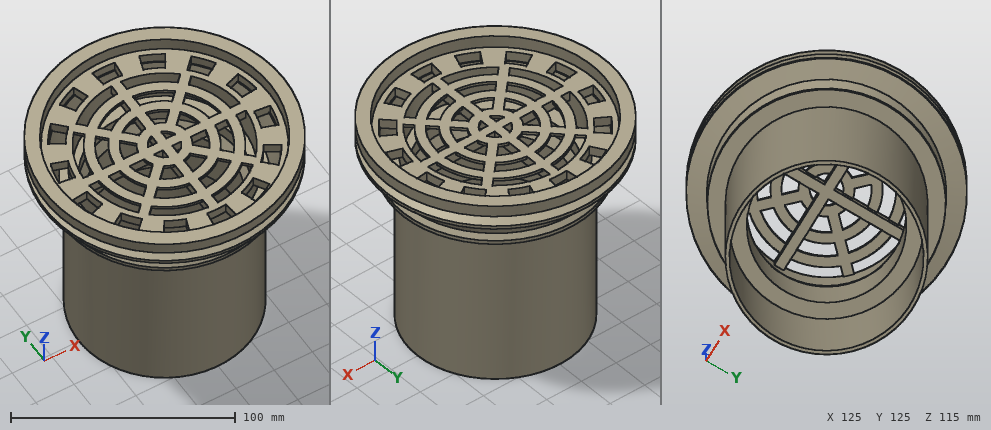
import cadquery as cq
import math

TOP_Z = 115.0
RIM_BOTTOM_Z = 109.0
FLANGE_NECK_Z = 106.0
FLANGE_EDGE_TOP_Z = 103.5
FLANGE_EDGE_BOTTOM_Z = 101.8
FLANGE_BOTTOM_Z = 100.0
CUP_WAIST_Z = 89.6
CUP_FLOOR_Z = 87.0
CUP_BOTTOM_Z = 85.0
INSERT_TOP_Z = 80.0

RIM_R = 62.5
NECK_R = 58.2
CUP_TOP_R = 53.4
CUP_WAIST_R = 51.0
CUP_BASE_R = 53.0
PIPE_R = 45.0
PIPE_BORE_R = 43.19
DRAIN_R = 38.5
RIM_BORE_R = 55.5
CUP_BORE_TOP_R = 51.5
CUP_BORE_BOTTOM_R = 47.0

GRATE_R = 55.0
GRATE_TOP_Z = RIM_BOTTOM_Z
GRATE_THICKNESS = 5.0
GRATE_BOTTOM_Z = GRATE_TOP_Z - GRATE_THICKNESS
SKIRT_R = 43.0
SKIRT_BOTTOM_Z = 93.0
OPENING_R = 41.0
BAR_WIDTH = 5.0
RIB_DEPTH = 1.5
RING_CENTER_RADII = (10.0, 22.5, 33.5)
WINDOW_COUNT = 14
WINDOW_INNER_R = 44.0
WINDOW_OUTER_R = 52.0
WINDOW_ANGLE = 180.0 / WINDOW_COUNT
BAR_LENGTH = OPENING_R + SKIRT_R

INSERT_R = 43.1
INSERT_BORE_R = 35.5
INSERT_LENGTH = 30.0
INSERT_BOTTOM_Z = INSERT_TOP_Z - INSERT_LENGTH
FUNNEL_DEPTH = 5.0


def revolved(outline):
    """Revolve a list of (radius, height) points about the Z axis."""
    return cq.Workplane("XZ").polyline(outline).close().revolve(360, (0, 0), (0, 1))


def disc(radius, bottom_z, height):
    return cq.Workplane("XY").workplane(offset=bottom_z).circle(radius).extrude(height)


def ring(inner_r, outer_r, bottom_z, height):
    return cq.Workplane("XY").workplane(offset=bottom_z).circle(outer_r).circle(inner_r).extrude(height)


def make_housing():
    outside = [
        (PIPE_R, 0),
        (PIPE_R, CUP_BOTTOM_Z),
        (CUP_BASE_R, CUP_BOTTOM_Z),
        (CUP_BASE_R, CUP_FLOOR_Z),
        (CUP_WAIST_R, CUP_WAIST_Z),
        (CUP_TOP_R, FLANGE_BOTTOM_Z),
        (RIM_R, FLANGE_EDGE_BOTTOM_Z),
        (RIM_R, FLANGE_EDGE_TOP_Z),
        (NECK_R, FLANGE_NECK_Z),
        (NECK_R, RIM_BOTTOM_Z),
        (RIM_R, RIM_BOTTOM_Z),
        (RIM_R, TOP_Z),
    ]
    inside = [
        (RIM_BORE_R, TOP_Z),
        (RIM_BORE_R, GRATE_BOTTOM_Z),
        (CUP_BORE_TOP_R, GRATE_BOTTOM_Z),
        (CUP_BORE_BOTTOM_R, CUP_FLOOR_Z),
        (DRAIN_R, CUP_FLOOR_Z),
        (DRAIN_R, INSERT_TOP_Z),
        (PIPE_BORE_R, INSERT_TOP_Z),
        (PIPE_BORE_R, 0),
    ]
    return revolved(outside + inside)


def window_cutter():
    """A window between two arcs with radial sides."""
    half = math.radians(WINDOW_ANGLE / 2)

    def at(radius, angle):
        return (radius * math.cos(angle), radius * math.sin(angle))

    return (
        cq.Workplane("XY").workplane(offset=GRATE_BOTTOM_Z)
        .moveTo(*at(WINDOW_INNER_R, -half))
        .lineTo(*at(WINDOW_OUTER_R, -half))
        .threePointArc((WINDOW_OUTER_R, 0), at(WINDOW_OUTER_R, half))
        .lineTo(*at(WINDOW_INNER_R, half))
        .threePointArc((WINDOW_INNER_R, 0), at(WINDOW_INNER_R, -half))
        .close().extrude(GRATE_THICKNESS)
    )


def bar(thickness, angle):
    """A flat-sided bar across the whole opening, flush with the top of the grate."""
    return (
        cq.Workplane("XY").workplane(offset=GRATE_TOP_Z - thickness)
        .rect(BAR_LENGTH, BAR_WIDTH).extrude(thickness)
        .rotate((0, 0, 0), (0, 0, 1), angle)
    )


def rib_ring(center_r):
    half = BAR_WIDTH / 2
    return ring(center_r - half, center_r + half, GRATE_TOP_Z - RIB_DEPTH, RIB_DEPTH)


def make_grate():
    grate = ring(OPENING_R, GRATE_R, GRATE_BOTTOM_Z, GRATE_THICKNESS)
    grate = grate.union(ring(OPENING_R, SKIRT_R, SKIRT_BOTTOM_Z, GRATE_TOP_Z - SKIRT_BOTTOM_Z))
    for i in range(WINDOW_COUNT):
        angle = 90 + i * 360 / WINDOW_COUNT
        grate = grate.cut(window_cutter().rotate((0, 0, 0), (0, 0, 1), angle))
    hub_hole = disc(RING_CENTER_RADII[0], 0, TOP_Z)
    for angle in (45, 135):
        grate = grate.union(bar(RIB_DEPTH, angle).cut(hub_hole))
    for center_r in RING_CENTER_RADII:
        grate = grate.union(rib_ring(center_r))
    for angle in (0, 90):
        grate = grate.union(bar(GRATE_THICKNESS, angle))
    return grate


def make_insert():
    return revolved([
        (DRAIN_R, INSERT_TOP_Z),
        (INSERT_R, INSERT_TOP_Z),
        (INSERT_R, INSERT_BOTTOM_Z),
        (INSERT_BORE_R, INSERT_BOTTOM_Z),
        (INSERT_BORE_R, INSERT_TOP_Z - FUNNEL_DEPTH),
    ])


housing = make_housing()
grate = make_grate()
insert = make_insert()
result = cq.Compound.makeCompound([housing.val(), grate.val(), insert.val()])